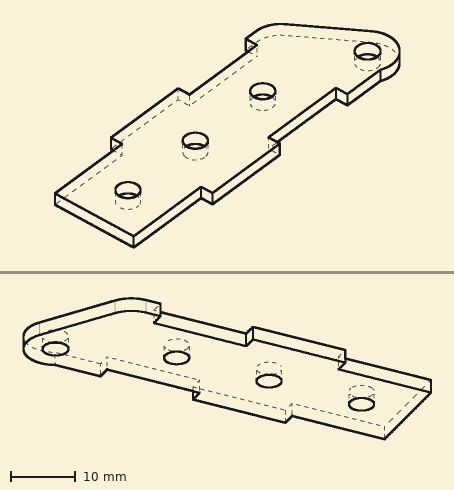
import cadquery as cq
import math

length = 63.0
thickness = 2.25
narrow_width = 16.1
wide_width = 20.8
section_length = 16.0
hole_diameter = 3.9
tip_hole_diameter = 4.0
tip_radius = 5.0
tip_x = 5.9
shoulder_radius = 5.05
shoulder_height = 2.5

half_narrow = narrow_width / 2
half_wide = wide_width / 2
middle_start = section_length
neck_start = 2 * section_length
head_start = 3 * section_length
tip_y = length - tip_radius
shoulder_x = -half_wide + shoulder_radius
shoulder_y = head_start + shoulder_height


def point_on_circle(center_x, center_y, radius, angle):
    return center_x + radius * math.cos(angle), center_y + radius * math.sin(angle)


center_distance = math.hypot(tip_x - shoulder_x, tip_y - shoulder_y)
center_angle = math.atan2(tip_y - shoulder_y, tip_x - shoulder_x)
slope_normal = center_angle + math.acos((shoulder_radius - tip_radius) / center_distance)
shoulder_end = point_on_circle(shoulder_x, shoulder_y, shoulder_radius, slope_normal)
shoulder_middle = point_on_circle(
    shoulder_x, shoulder_y, shoulder_radius, (math.pi + slope_normal) / 2
)
tip_start = point_on_circle(tip_x, tip_y, tip_radius, slope_normal)

tip_end_angle = -math.acos((half_wide - tip_x) / tip_radius)
tip_end = point_on_circle(tip_x, tip_y, tip_radius, tip_end_angle)
tip_middle = point_on_circle(tip_x, tip_y, tip_radius, (slope_normal + tip_end_angle) / 2)

plate = (
    cq.Workplane("XY")
    .moveTo(-half_narrow, 0)
    .lineTo(-half_narrow, middle_start)
    .lineTo(-half_wide, middle_start)
    .lineTo(-half_wide, neck_start)
    .lineTo(-half_narrow, neck_start)
    .lineTo(-half_narrow, head_start)
    .lineTo(-half_wide, head_start)
    .lineTo(-half_wide, shoulder_y)
    .threePointArc(shoulder_middle, shoulder_end)
    .lineTo(*tip_start)
    .threePointArc(tip_middle, tip_end)
    .lineTo(half_wide, head_start)
    .lineTo(half_narrow, head_start)
    .lineTo(half_narrow, neck_start)
    .lineTo(half_wide, neck_start)
    .lineTo(half_wide, middle_start)
    .lineTo(half_narrow, middle_start)
    .lineTo(half_narrow, 0)
    .close()
    .extrude(thickness)
)

section_centers = [(0, (index + 0.5) * section_length) for index in range(3)]
section_holes = (
    cq.Workplane("XY").pushPoints(section_centers).circle(hole_diameter / 2).extrude(thickness)
)
tip_hole = (
    cq.Workplane("XY").center(tip_x, tip_y).circle(tip_hole_diameter / 2).extrude(thickness)
)

result = plate.cut(section_holes).cut(tip_hole)